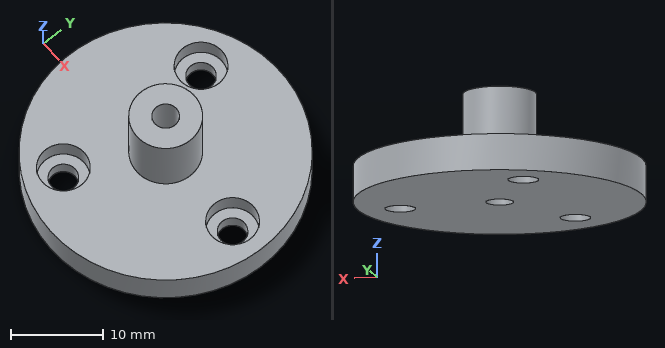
import cadquery as cq

flange_diameter = 31.8
flange_thickness = 4.0

boss_diameter = 8.0
total_height = 12.0
boss_height = total_height - flange_thickness
bore_diameter = 3.0

screw_count = 3
screw_circle_radius = 11.25
screw_hole_diameter = 3.3
counterbore_diameter = 5.82
counterbore_depth = 2.3

flange = cq.Workplane("XY").circle(flange_diameter / 2).extrude(flange_thickness)

boss = (
    cq.Workplane("XY", origin=(0, 0, flange_thickness))
    .circle(boss_diameter / 2)
    .extrude(boss_height)
)

bore = cq.Workplane("XY").circle(bore_diameter / 2).extrude(total_height)

drilled_flange = (
    flange.faces(">Z")
    .workplane()
    .polarArray(screw_circle_radius, 0, 360, screw_count)
    .cboreHole(screw_hole_diameter, counterbore_diameter, counterbore_depth)
)

result = drilled_flange.union(boss).cut(bore)